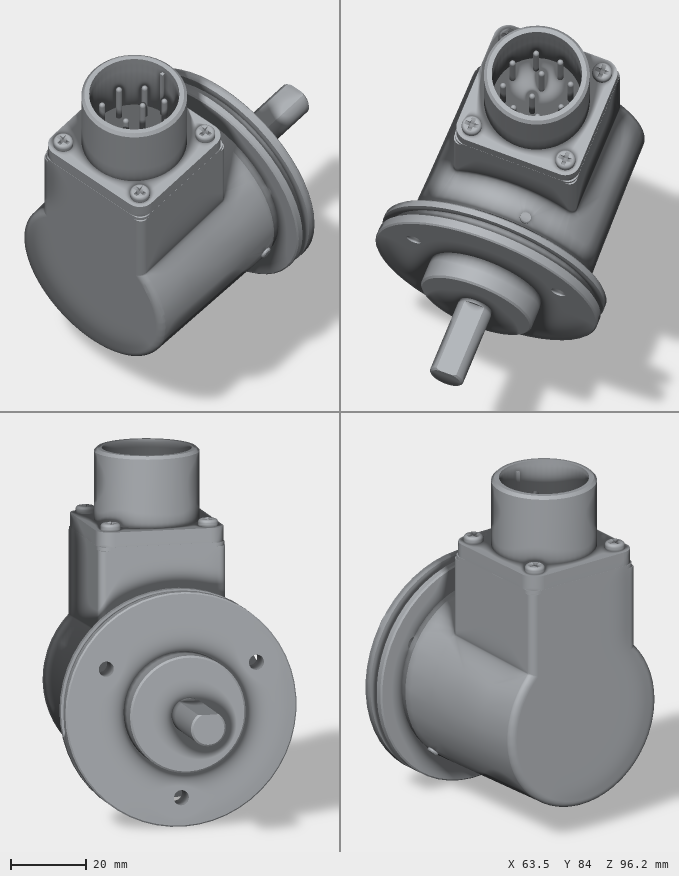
import math

import cadquery as cq


overall_length = 84.0
overall_height = 96.15

shaft_radius = 9.525 / 2
shaft_tip_y = 29.4
shaft_chamfer = 0.5
shaft_flat_z = 3.85
shaft_flat_length = 21.0
shaft_neck_radius = 4.6

boss_radius = 31.75 / 2
boss_length = 7.45
boss_chamfer = 0.5
flange_radius = 63.5 / 2
flange_thickness = 7.25
flange_chamfer = 0.4
groove_radius = 29.4
groove_start = 2.6
groove_width = 2.7

neck_radius = 24.9
neck_length = 2.3
body_radius = 25.4
body_end_radius = 24.5
body_end_fillet = 1.9
body_end_y = shaft_tip_y - overall_length

mount_hole_radius = 2.05
mount_circle_radius = 23.81
mount_hole_angles = (30, 150, 270)

body_screw_radius = 1.6
body_screw_chamfer = 0.3
body_screw_top = body_radius + 0.7
body_screw_y = -12.1
body_screw_angles = (105, 225, 345)

housing_width = 35.0
housing_half = housing_width / 2
housing_corner_radius = 2.0
housing_root_fillet = 0.5
relief_height = 1.0
relief_corner_radius = 3.0
plate_corner_radius = 4.1
plate_inset = 0.03
plate_thickness = 4.0
plate_width = housing_width - 2 * plate_inset
plate_top_z = 45.05
plate_bottom_z = plate_top_z - plate_thickness
housing_center_y = body_end_y + housing_half

shell_top_z = overall_height - flange_radius
shell_radius = 14.1
shell_bore_radius = 12.0
shell_chamfer = 0.8
key_width = 0.9
key_height = 0.9
key_top_gap = 2.2
pin_radius = 0.8
pin_tip_z = shell_top_z - 7.4
pin_inner = 3.45
pin_outer = 8.3

screw_offset = 13.4
screw_head_radius = 2.65
screw_rim_height = 0.9
screw_head_height = 1.85
screw_top_radius = 1.85
recess_length = 3.9
recess_width = 1.1
recess_depth = 1.0


def make_turned_parts():
    """Shaft, boss, grooved flange and tapered body as one revolved solid."""
    shaft_neck_y = shaft_tip_y - shaft_flat_length
    flange_back_y = -flange_thickness
    groove_back = groove_start + groove_width
    body_start_y = flange_back_y - neck_length
    profile = (
        cq.Workplane("XY")
        .moveTo(0, shaft_tip_y)
        .lineTo(shaft_radius - shaft_chamfer, shaft_tip_y)
        .lineTo(shaft_radius, shaft_tip_y - shaft_chamfer)
        .lineTo(shaft_radius, shaft_neck_y)
        .lineTo(shaft_neck_radius, shaft_neck_y)
        .lineTo(shaft_neck_radius, boss_length)
        .lineTo(boss_radius - boss_chamfer, boss_length)
        .lineTo(boss_radius, boss_length - boss_chamfer)
        .lineTo(boss_radius, 0)
        .lineTo(flange_radius - flange_chamfer, 0)
        .lineTo(flange_radius, -flange_chamfer)
        .lineTo(flange_radius, -groove_start)
        .lineTo(groove_radius, -groove_start)
        .lineTo(groove_radius, -groove_back)
        .lineTo(flange_radius, -groove_back)
        .lineTo(flange_radius, flange_back_y + flange_chamfer)
        .lineTo(flange_radius - flange_chamfer, flange_back_y)
        .lineTo(neck_radius, flange_back_y)
        .lineTo(neck_radius, body_start_y)
        .lineTo(body_radius, body_start_y)
        .lineTo(body_end_radius, body_end_y)
        .lineTo(0, body_end_y)
        .close()
    )
    turned = profile.revolve(360, (0, 0, 0), (0, 1, 0))
    return turned.faces("<Y").edges().fillet(body_end_fillet)


def make_shaft_flat():
    """Block that removes the top of the shaft down to the flat."""
    return cq.Workplane("XY").box(
        2 * shaft_radius, shaft_flat_length, shaft_radius, centered=(True, False, False)
    ).translate((0, shaft_tip_y - shaft_flat_length, shaft_flat_z))


def make_mount_holes():
    """Cylinders for the holes through the flange."""
    centers = []
    for angle in mount_hole_angles:
        turn = math.radians(angle)
        centers.append((mount_circle_radius * math.cos(turn), mount_circle_radius * math.sin(turn)))
    return cq.Workplane("XZ").pushPoints(centers).circle(mount_hole_radius).extrude(flange_thickness)


def make_body_screw(angle):
    """Radial screw in the body; angle runs from +X toward +Z."""
    screw = cq.Workplane("YZ").circle(body_screw_radius).extrude(body_screw_top)
    screw = screw.faces(">X").chamfer(body_screw_chamfer)
    screw = screw.translate((0, body_screw_y, 0))
    return screw.rotate((0, 0, 0), (0, 1, 0), -angle)


def make_square_block(bottom_z, top_z, width, corner_radius):
    """Square block centered over the housing footprint with rounded upright edges."""
    return (
        cq.Workplane("XY", origin=(0, housing_center_y, bottom_z))
        .rect(width, width)
        .extrude(top_z - bottom_z)
        .edges("|Z")
        .fillet(corner_radius)
    )


def blend_housing_root(body):
    """Fillet where the sides and back of the housing meet the round body."""
    root_box = cq.selectors.BoxSelector(
        (-body_radius, body_end_y + body_end_fillet, shaft_radius),
        (body_radius, -flange_thickness - neck_length, body_radius),
    )
    return body.edges("not %LINE").edges(root_box).fillet(housing_root_fillet)


def make_shell():
    """Open round connector shell with a key inside."""
    shell_height = shell_top_z - plate_top_z
    base = cq.Workplane("XY", origin=(0, housing_center_y, plate_top_z))
    shell = base.circle(shell_radius).extrude(shell_height).faces(">Z").chamfer(shell_chamfer)
    shell = shell.cut(base.circle(shell_bore_radius).extrude(shell_height))
    wall_thickness = shell_radius - shell_bore_radius
    key_depth = key_height + wall_thickness / 2
    key_center_y = shell_bore_radius - key_height + key_depth / 2
    key = base.center(0, key_center_y).rect(key_width, key_depth).extrude(shell_height - key_top_gap)
    return shell.union(key)


def make_pins():
    """Ten round-ended contact pins standing on the plate."""
    centers = [(0, pin_inner), (0, -pin_inner)]
    for side_x in (-1, 1):
        for side_y in (-1, 1):
            centers.append((side_x * pin_inner, side_y * pin_outer))
            centers.append((side_x * pin_outer, side_y * pin_inner))
    base = cq.Workplane("XY", origin=(0, housing_center_y, plate_top_z))
    shaft_height = pin_tip_z - pin_radius - plate_top_z
    pins = base.pushPoints(centers).circle(pin_radius).extrude(shaft_height)
    tips = base.workplane(offset=shaft_height).pushPoints(centers).sphere(pin_radius)
    return pins.union(tips)


def make_plate_screw():
    """Domed screw head with a cross recess, sitting on Z = 0."""
    crown_height = screw_head_height - screw_rim_height
    crown_width = screw_head_radius - screw_top_radius
    mid_share = math.cos(math.radians(45))
    crown_mid = (screw_top_radius + crown_width * mid_share, screw_rim_height + crown_height * mid_share)
    head = (
        cq.Workplane("XZ")
        .lineTo(screw_head_radius, 0)
        .lineTo(screw_head_radius, screw_rim_height)
        .threePointArc(crown_mid, (screw_top_radius, screw_head_height))
        .lineTo(0, screw_head_height)
        .close()
        .revolve(360, (0, 0, 0), (0, 1, 0))
    )
    slot = (
        cq.Workplane("XZ")
        .moveTo(-recess_length / 2, screw_head_height)
        .lineTo(-recess_width / 2, screw_head_height - recess_depth)
        .lineTo(recess_width / 2, screw_head_height - recess_depth)
        .lineTo(recess_length / 2, screw_head_height)
        .close()
        .extrude(recess_width / 2, both=True)
    )
    return head.cut(slot).cut(slot.rotate((0, 0, 0), (0, 0, 1), 90))


result = make_turned_parts()
relief_bottom_z = plate_bottom_z - relief_height
result = result.union(make_square_block(0, relief_bottom_z, housing_width, housing_corner_radius))
result = blend_housing_root(result)

result = result.cut(make_shaft_flat()).cut(make_mount_holes())

result = result.union(make_square_block(relief_bottom_z, plate_bottom_z, housing_width, relief_corner_radius))
result = result.union(make_square_block(plate_bottom_z, plate_top_z, plate_width, plate_corner_radius))
result = result.union(make_shell()).union(make_pins())

for screw_angle in body_screw_angles:
    result = result.union(make_body_screw(screw_angle))
for screw_x in (-screw_offset, screw_offset):
    for screw_y in (-screw_offset, screw_offset):
        screw_place = (screw_x, housing_center_y + screw_y, plate_top_z)
        result = result.union(make_plate_screw().translate(screw_place))